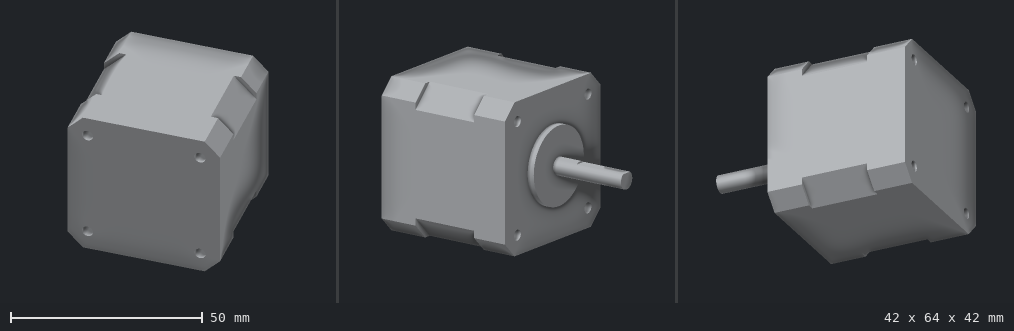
import cadquery as cq

total_length = 64.0
body_width = 42.0
body_length = 40.0
end_chamfer = 4.2
middle_chamfer = 6.2

rear_cap_length = 11.0
front_cap_length = 10.0
middle_length = body_length - rear_cap_length - front_cap_length

boss_diameter = 22.0
boss_length = 2.0
shaft_diameter = 5.0
shaft_length = total_length - body_length - boss_length
flat_length = 15.05
flat_depth = 0.5

hole_spacing = 31.0
hole_diameter = 3.0


def plane_at(y):
    """Plane at the given Y whose normal points along +Y."""
    return cq.Workplane("XZ", origin=(0, y, 0)).workplane(invert=True)


def chamfered_block(start_y, length, chamfer):
    """Square block along Y with its four long edges chamfered."""
    block = plane_at(start_y).rect(body_width, body_width).extrude(length)
    return block.edges("|Y").chamfer(chamfer)


def make_body():
    """Two end caps around a middle section with larger corner chamfers."""
    rear_cap = chamfered_block(0, rear_cap_length, end_chamfer)
    middle = chamfered_block(rear_cap_length, middle_length, middle_chamfer)
    front_cap = chamfered_block(body_length - front_cap_length, front_cap_length, end_chamfer)
    body = rear_cap.union(middle).union(front_cap)
    holes = (
        plane_at(0)
        .rect(hole_spacing, hole_spacing, forConstruction=True)
        .vertices()
        .circle(hole_diameter / 2)
        .extrude(body_length)
    )
    return body.cut(holes)


def make_shaft():
    """Round shaft with a flat on its +Z side at the free end."""
    shaft = plane_at(body_length + boss_length).circle(shaft_diameter / 2).extrude(shaft_length)
    flat_height = shaft_diameter / 2 - flat_depth
    flat_cut = cq.Workplane("XY").box(
        shaft_diameter, flat_length, shaft_diameter, centered=(True, False, False)
    )
    return shaft.cut(flat_cut.translate((0, total_length - flat_length, flat_height)))


boss = plane_at(body_length).circle(boss_diameter / 2).extrude(boss_length)
result = make_body().union(boss).union(make_shaft())